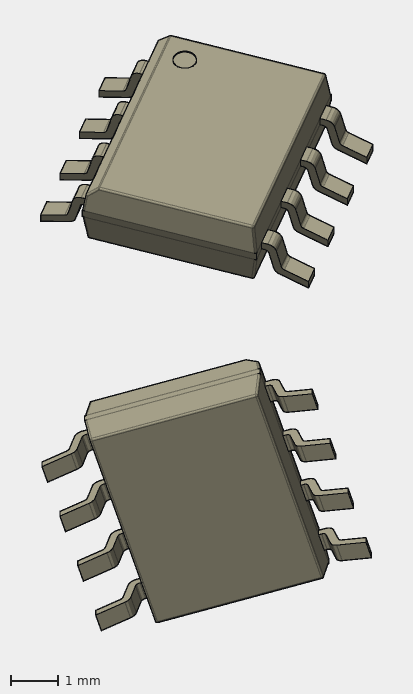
import cadquery as cq
import math


body_length_x = 3.9
body_width_y = 4.9
body_bottom_z = 0.125
body_top_z = 1.75
draft_angle = 7.0
edge_radius = 0.05
bevel_top_x = -1.62

mark_diameter = 0.5
mark_depth = 0.03
mark_x = -1.1
mark_y = 1.77

lead_span = 6.0
lead_count = 4
lead_pitch = 1.27
lead_width = 0.4
lead_thickness = 0.19
lead_top_z = 1.045
lead_root_x = 1.8
shoulder_x = 2.245
leg_angle = 76.0
foot_angle = 18.0
inner_bend_radius = 0.1
outer_bend_radius = 0.2

lead_bottom_z = lead_top_z - lead_thickness


def tapered_block(start_z, end_z):
    """Part of the body that narrows from the parting band at start_z to its flat face at end_z."""
    block = cq.Workplane("XY").rect(body_length_x, body_width_y)
    block = block.extrude(abs(end_z - start_z), taper=draft_angle)
    if end_z < start_z:
        block = block.mirror("XY")
    return block.translate((0, 0, start_z))


def cut_bevel(block):
    """45 degree bevel along the pin 1 side, cut past the sidewall."""
    reach = body_length_x / 2 + bevel_top_x
    bevel = (
        cq.Workplane("XZ")
        .moveTo(bevel_top_x, body_top_z)
        .lineTo(bevel_top_x - reach, body_top_z - reach)
        .lineTo(bevel_top_x - reach, body_top_z)
        .close()
        .extrude(body_width_y / 2, both=True)
    )
    return block.cut(bevel)


def cut_mark(block):
    """Shallow round pin 1 mark in the top face."""
    mark = cq.Workplane("XY", origin=(mark_x, mark_y, body_top_z))
    return block.cut(mark.circle(mark_diameter / 2).extrude(-mark_depth))


def make_body():
    band = cq.Workplane("XY", origin=(0, 0, lead_bottom_z)).rect(body_length_x, body_width_y)
    band = band.extrude(lead_thickness)

    upper = cut_bevel(tapered_block(lead_top_z, body_top_z))
    upper = cut_mark(upper.edges("not <Z").fillet(edge_radius))
    lower = tapered_block(lead_bottom_z, body_bottom_z).edges("not >Z").fillet(edge_radius)
    return band.union(upper).union(lower)


def offset_below(point, slope_before, slope_after):
    """Lower-surface corner one sheet thickness below an upper-surface corner."""
    bisector = math.radians((slope_before + slope_after) / 2)
    mitre_length = lead_thickness / math.cos(math.radians((slope_before - slope_after) / 2))
    return (point[0] - mitre_length * math.sin(bisector), point[1] - mitre_length * math.cos(bisector))


def make_lead():
    """Lead on the +X side, centred on y = 0; slopes are measured downward from +X."""
    leg_slope = math.tan(math.radians(leg_angle))
    foot_slope = math.tan(math.radians(foot_angle))
    tip_x = lead_span / 2
    tip_top_z = lead_thickness / math.cos(math.radians(foot_angle))

    shoulder = (shoulder_x, lead_top_z)
    leg_fall = lead_top_z - tip_top_z
    ankle_x = (leg_fall + shoulder_x * leg_slope - tip_x * foot_slope) / (leg_slope - foot_slope)
    ankle = (ankle_x, tip_top_z + (tip_x - ankle_x) * foot_slope)
    lower_shoulder = offset_below(shoulder, 0, leg_angle)
    lower_ankle = offset_below(ankle, leg_angle, foot_angle)

    outline = [
        (lead_root_x, lead_top_z),
        shoulder,
        ankle,
        (tip_x, tip_top_z),
        (tip_x, 0),
        lower_ankle,
        lower_shoulder,
        (lead_root_x, lead_bottom_z),
    ]
    lead = cq.Workplane("XZ").polyline(outline).close().extrude(lead_width / 2, both=True)

    bends = [
        (shoulder, outer_bend_radius),
        (ankle, inner_bend_radius),
        (lower_shoulder, inner_bend_radius),
        (lower_ankle, outer_bend_radius),
    ]
    for (x, z), radius in bends:
        lead = lead.edges(cq.selectors.NearestToPointSelector((x, 0, z))).fillet(radius)
    return lead


result = make_body()
right_lead = make_lead()
left_lead = right_lead.mirror("YZ")
for index in range(lead_count):
    lead_y = (index - (lead_count - 1) / 2) * lead_pitch
    for lead in (right_lead, left_lead):
        result = result.union(lead.translate((0, lead_y, 0)))